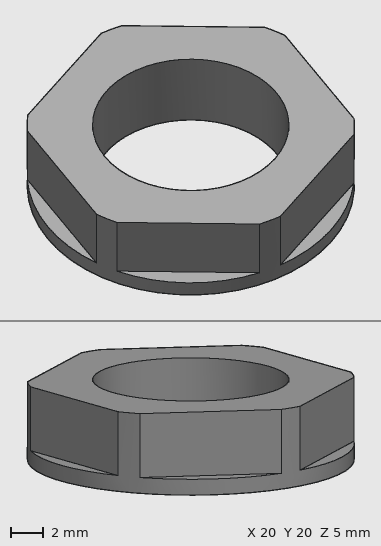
import cadquery as cq
import math

outer_diameter = 20.0
bore_diameter = 12.0
across_flats = 18.0
total_height = 5.0
flange_thickness = 1.0

hex_sides = 6
across_corners = across_flats / math.cos(math.pi / hex_sides)
corner_angle = 90.0


def make_flange():
    """Round flange at the base of the nut."""
    return cq.Workplane("XY").circle(outer_diameter / 2).extrude(flange_thickness)


def make_hex_body():
    """Hexagon whose corners are rounded off by the flange's outer cylinder."""
    hexagon = (
        cq.Workplane("XY")
        .polygon(hex_sides, across_corners)
        .extrude(total_height)
        .rotate((0, 0, 0), (0, 0, 1), corner_angle)
    )
    envelope = cq.Workplane("XY").circle(outer_diameter / 2).extrude(total_height)
    return hexagon.intersect(envelope)


def make_bore():
    """Plain round hole through the full height."""
    return cq.Workplane("XY").circle(bore_diameter / 2).extrude(total_height)


result = make_flange().union(make_hex_body()).cut(make_bore())